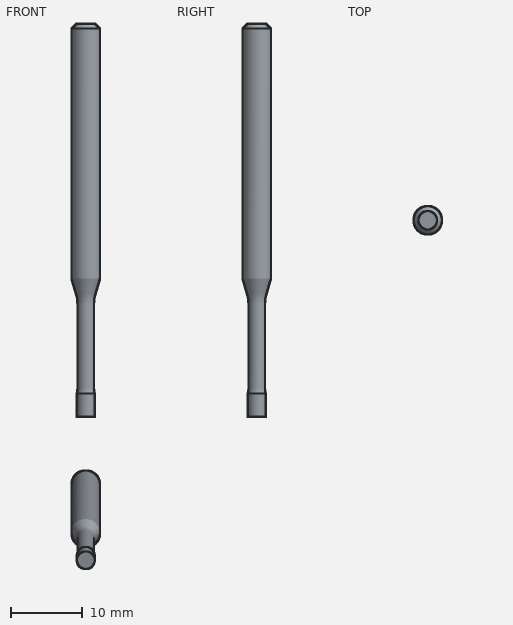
import cadquery as cq
import math

overall_length = 55.0
cutter_length = 3.3
neck_start = 3.8
neck_end = 15.9
taper_start = 17.55
shank_start = 19.3

shank_diameter = 4.0
taper_small_diameter = 2.95
cutter_diameter = 2.55
neck_diameter = 2.35
end_chamfer = 0.7

shank_radius = shank_diameter / 2
taper_small_radius = taper_small_diameter / 2
cutter_radius = cutter_diameter / 2
neck_radius = neck_diameter / 2

blend_height = taper_start - neck_end
blend_rise = taper_small_radius - neck_radius
blend_sweep = 2 * math.atan2(blend_rise, blend_height)
blend_radius = blend_height / math.sin(blend_sweep)


def blend_point(angle):
    """Radius and height of the blend arc after turning by angle from the neck."""
    radius = neck_radius + blend_radius * (1 - math.cos(angle))
    height = neck_end + blend_radius * math.sin(angle)
    return radius, height


def make_cutter():
    """Plain cylindrical cutting end."""
    return cq.Workplane("XY").circle(cutter_radius).extrude(cutter_length)


def make_shank():
    """Turned holder: collar cone, neck, blend, taper and chamfered shank."""
    profile = (
        cq.Workplane("XZ")
        .moveTo(0, cutter_length)
        .lineTo(cutter_radius, cutter_length)
        .lineTo(neck_radius, neck_start)
        .lineTo(neck_radius, neck_end)
        .threePointArc(blend_point(blend_sweep / 2), (taper_small_radius, taper_start))
        .lineTo(shank_radius, shank_start)
        .lineTo(shank_radius, overall_length - end_chamfer)
        .lineTo(shank_radius - end_chamfer, overall_length)
        .lineTo(0, overall_length)
        .close()
    )
    return profile.revolve(360, (0, 0, 0), (0, 1, 0))


cutter = make_cutter()
shank = make_shank()
result = cq.Compound.makeCompound([cutter.val(), shank.val()])